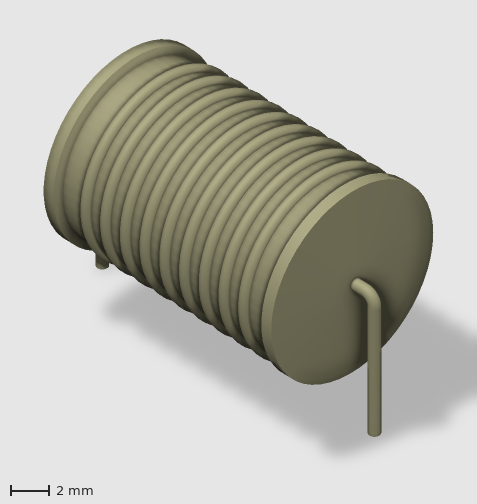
import cadquery as cq

overall_length = 21.02
overall_height = 15.1

flange_radius = 12.0 / 2
barrel_radius = 11.12 / 2
rim_x = 8.5
hub_x = 8.75
hub_radius = 0.55
flange_inner_x = 7.75
root_taper_length = 0.25

ring_count = 9
ring_pitch = 1.47
ring_radius = 0.35
ring_center_radius = 5.53
winding_center_x = 0.17

wire_radius = 0.35
bend_radius = 0.7
lead_x = overall_length / 2 - wire_radius
lead_bottom_z = flange_radius - overall_height
lead_start_x = flange_inner_x


def make_spool():
    """Revolve a barrel with two flanges whose outer faces are shallow cones."""
    right_half = [
        (flange_inner_x - root_taper_length, barrel_radius),
        (flange_inner_x, flange_radius),
        (rim_x, flange_radius),
        (hub_x, hub_radius),
        (hub_x, 0),
    ]
    left_half = [(-x, radius) for x, radius in reversed(right_half)]
    profile = cq.Workplane("XY").polyline(left_half + right_half).close()
    return profile.revolve(360, (0, 0, 0), (1, 0, 0))


def make_ring(x):
    """Make one turn of the winding, centred just under the barrel surface."""
    section = cq.Workplane("XY").center(x, ring_center_radius).circle(ring_radius)
    return section.revolve(360, (0, -ring_center_radius, 0), (1, -ring_center_radius, 0))


def make_left_lead():
    """Sweep a round wire out of the flange and bend it straight down."""
    path = (
        cq.Workplane("XZ")
        .moveTo(-lead_start_x, 0)
        .lineTo(bend_radius - lead_x, 0)
        .tangentArcPoint((-lead_x, -bend_radius), relative=False)
        .lineTo(-lead_x, lead_bottom_z)
    )
    section = cq.Workplane("YZ", origin=(-lead_start_x, 0, 0)).circle(wire_radius)
    return section.sweep(path)


result = make_spool()

first_ring_x = winding_center_x - ring_pitch * (ring_count - 1) / 2
for ring_index in range(ring_count):
    result = result.union(make_ring(first_ring_x + ring_index * ring_pitch))

left_lead = make_left_lead()
result = result.union(left_lead).union(left_lead.mirror("YZ"))